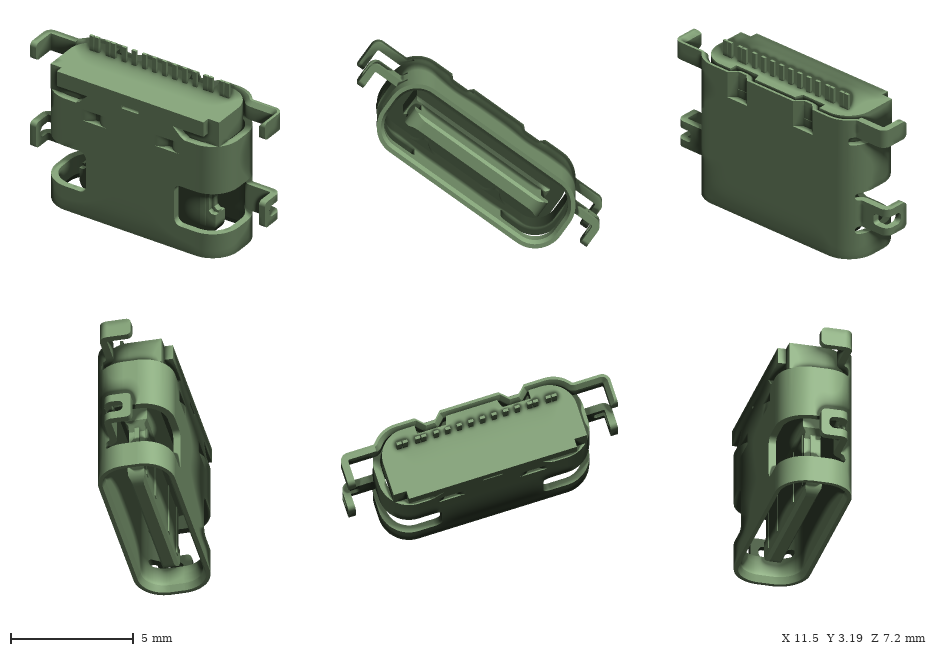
import cadquery as cq
import math

LENGTH = 11.54
DEPTH = 3.19
HEIGHT = 7.2
BACK = DEPTH / 2
FRONT = -BACK

SHEET = 0.3
SHELL_WIDTH = 8.95
CORNER_RADIUS = 1.28
SHELL_HEIGHT = 5.32
INNER_RADIUS = CORNER_RADIUS - SHEET
CORNER_X = SHELL_WIDTH / 2 - CORNER_RADIUS
CORNER_Y = BACK - CORNER_RADIUS

LEAD_IN_DEPTH = 0.13
LEAD_IN_HEIGHT = 0.28

WINDOW_BOTTOM = 1.14
WINDOW_TOP = 3.06
WINDOW_X = 2.17
WINDOW_RADIUS = 0.31
SLOT_RADIUS = 0.16
SLOT_END_Y = BACK - 0.5

BODY_TOP = 6.5
UPPER_WING_BOTTOM = 5.69
UPPER_WING_DROP = 0.55
LOWER_WING_BOTTOM = 1.5
LOWER_WING_TOP = 2.71
LOWER_WING_DROP = 0.74
LEG_TIP_Y = BACK - 1.92
LEG_TIP_RADIUS = 0.21
INNER_BEND_RADIUS = 0.06
LEG_BEND_RADIUS = SHEET + INNER_BEND_RADIUS
ROOT_OUTER_RADIUS = 0.12
ROOT_INNER_RADIUS = 0.46
PLATE_CHAMFER = 0.18
PROBE_OUT = 0.05
PROBE_BACK = 0.12
PROBE_DOWN = 0.01
NOTCH_END_Y = BACK - 0.31
NOTCH_RADIUS = 0.1

LEG_HOLE_BOTTOM = 1.85
LEG_HOLE_TOP = 2.37
LEG_HOLE_X = 5.02
LEG_HOLE_END_Y = BACK - 1.58
LEG_HOLE_RADIUS = 0.14
LEG_HOLE_END_RADIUS = 0.23

DENT_X = 1.8
DENT_DEPTH = 0.32
DENT_HALF_WIDTH = 0.54
DENT_INNER_HALF_WIDTH = 0.89

BRIDGE_X = 1.78
BRIDGE_WIDTH = 1.22
BRIDGE_BOTTOM = 4.58
BRIDGE_TOP = 5.11
BRIDGE_DEPTH = 0.3
BRIDGE_FLAT = 0.18
BRIDGE_SAG = 0.08

TAB_TOP = 5.8
TAB_FOOT_HALF = 2.68
TAB_BASE_HALF = 2.49
TAB_TOP_HALF = 2.1
TAB_FOOT_HEIGHT = 0.09
TAB_CHAMFER = 0.14

BODY_WIDTH = 8.29
BODY_FRONT = FRONT + 0.35
BODY_RADIUS = 1.15
FLANGE_WIDTH = 7.2
FLANGE_NOTCH_WIDTH = 0.82
FLANGE_NOTCH_HEIGHT = 0.14
FLANGE_NOTCH_DEPTH = 0.14
POCKET_OUTER_X = 2.43
POCKET_INNER_X = 1.1
POCKET_SLANT = 0.12
POCKET_DEPTH = 0.36

TONGUE_Y = 0.02
TONGUE_THICKNESS = 0.68
TONGUE_WIDTH = 6.69
TONGUE_BOTTOM = 0.23
TIP_RADIUS = 0.62
TIP_BEVEL_DEPTH = 0.12
TIP_BEVEL_HEIGHT = 0.2
LATCH_BOTTOM = 1.33
LATCH_TOP = 3.12
LATCH_DEPTH = 0.33
LATCH_CHAMFER = 0.12
MIDPLATE_THICKNESS = 0.21
MIDPLATE_EXTRA = 0.12
BASE_BOTTOM = 2.99
BASE_STEP = 0.14
CONTACT_WIDTH = 0.24
CONTACT_HEIGHT = 0.03
CONTACT_BOTTOM = 0.68

PITCH = 0.5
PIN_WIDTH = 0.21
PIN_THICKNESS = 0.12
PIN_Y = BACK - 1.0
PAIR_SPACING = 0.25
SINGLE_PINS = [PITCH * (n + 0.5) for n in range(4)]
PAIRED_PINS = [2.4, 3.2]
CONTACT_XS = [PITCH * 2.5, PITCH * 5.5]


def block(x0, x1, y0, y1, z0, z1):
    """Box between two opposite corners."""
    return cq.Workplane("XY").box(x1 - x0, y1 - y0, z1 - z0, centered=False).translate((x0, y0, z0))


def both_sides(solid):
    """The solid together with its mirror image about the YZ plane."""
    return solid.union(solid.mirror("YZ"))


def prism_along_y(points, y0, y1):
    """Extrude an XZ outline between two Y positions."""
    return cq.Workplane("XZ", origin=(0, y1, 0)).polyline(points).close().extrude(y1 - y0)


def rounded_slab(inset, z0, z1):
    """Shell outline moved inwards by an inset, extruded between two heights."""
    slab = block(
        inset - SHELL_WIDTH / 2, SHELL_WIDTH / 2 - inset, FRONT + inset, BACK - inset, z0, z1
    )
    return slab.edges("|Z").fillet(CORNER_RADIUS - inset)


def tube(z0, z1):
    """Closed ring of shell sheet between two heights."""
    return rounded_slab(0, z0, z1).cut(rounded_slab(SHEET, z0, z1))


def fillet_upright(solid, x, y, radius):
    """Round the vertical edge closest to a plan position."""
    z = solid.val().Center().z
    return solid.edges("|Z").edges(cq.NearestToPointSelector((x, y, z))).fillet(radius)


def arc_x(radius, y):
    """X position at which a rear corner arc reaches the given Y."""
    return CORNER_X + math.sqrt(radius**2 - (y - CORNER_Y) ** 2)


def wing(drop, z0, z1):
    """Right-hand wing: rear shell corner, flat wing and solder leg."""
    outer_y = BACK - drop
    inner_y = outer_y - SHEET
    leg_x = LENGTH / 2 - SHEET
    root_inner_x = arc_x(INNER_RADIUS, inner_y)
    corner = tube(z0, z1).intersect(block(CORNER_X, LENGTH, inner_y, BACK, z0, z1))
    flat = block(CORNER_X, LENGTH / 2, inner_y, outer_y, z0, z1)
    leg = block(leg_x, LENGTH / 2, LEG_TIP_Y, outer_y, z0, z1)
    solid = flat.union(leg).cut(rounded_slab(SHEET, z0, z1)).union(corner).clean()
    solid = fillet_upright(solid, root_inner_x, inner_y, ROOT_INNER_RADIUS)
    solid = fillet_upright(solid, arc_x(CORNER_RADIUS, outer_y), outer_y, ROOT_OUTER_RADIUS)
    solid = fillet_upright(solid, LENGTH / 2, outer_y, LEG_BEND_RADIUS)
    return fillet_upright(solid, leg_x, inner_y, INNER_BEND_RADIUS)


def round_leg_tips(solid, z0, z1):
    """Round the corners at the free ends of the legs."""
    envelope = block(-LENGTH / 2, LENGTH / 2, LEG_TIP_Y, BACK, z0, z1)
    return solid.intersect(envelope.edges("<Y and |X").fillet(LEG_TIP_RADIUS))


def dent_outline(depth, half_width):
    """Trapezoid with 45 degree flanks, reaching inwards from the back face."""
    return [
        (DENT_X - half_width, BACK),
        (DENT_X - half_width + depth, BACK - depth),
        (DENT_X + half_width - depth, BACK - depth),
        (DENT_X + half_width, BACK),
    ]


def dent(depth, half_width, z0, z1):
    outline = cq.Workplane("XY", origin=(0, 0, z0)).polyline(dent_outline(depth, half_width))
    return both_sides(outline.close().extrude(z1 - z0))


def dented(wall, z0, z1):
    """The wall with both dents pressed into it; the sheet bulges on its inner side."""
    wall = wall.union(dent(DENT_DEPTH + SHEET, DENT_INNER_HALF_WIDTH, z0, z1))
    return wall.cut(dent(DENT_DEPTH, DENT_HALF_WIDTH, z0, z1)).clean()


def plate_foot():
    """Rear wall between the shell and the upper wings, with a rounded notch at each side."""
    z0, z1 = SHELL_HEIGHT, UPPER_WING_BOTTOM
    notch = block(-LENGTH, LENGTH, FRONT, NOTCH_END_Y, z0, z1).edges(">Y and |X").fillet(NOTCH_RADIUS)
    rear = tube(z0, z1).intersect(block(-LENGTH, LENGTH, NOTCH_END_Y - NOTCH_RADIUS, BACK, z0, z1))
    return dented(rear.cut(notch), z0, z1)


def back_plate():
    """Rear wall with upper wings; its inner top edge is chamfered except on the left wing."""
    z0, z1 = UPPER_WING_BOTTOM, BODY_TOP
    right_wing = wing(UPPER_WING_DROP, z0, z1)
    root_x = arc_x(CORNER_RADIUS, BACK - UPPER_WING_DROP)
    left_wing = right_wing.mirror("YZ")
    left_corner = left_wing.intersect(block(-root_x, 0, FRONT, BACK, z0, z1))
    left_wing = left_wing.intersect(block(-LENGTH, -root_x, FRONT, BACK, z0, z1))
    middle = block(-CORNER_X, CORNER_X, BACK - SHEET, BACK, z0, z1)
    plate = dented(middle.union(right_wing).union(left_corner), z0, z1)
    body = plate.val()

    def faces_inwards(edge):
        """True for an edge with sheet metal behind it and towards its own end of the part."""
        centre = edge.Center()
        behind = centre + cq.Vector(math.copysign(PROBE_OUT, centre.x), PROBE_BACK, -PROBE_DOWN)
        return centre.y > LEG_TIP_Y and -root_x < centre.x and body.isInside(behind)

    plate = plate.faces(">Z").edges().filter(faces_inwards).chamfer(PLATE_CHAMFER)
    return round_leg_tips(plate.union(left_wing), z0, z1).union(plate_foot())


def side_window():
    """Right-hand opening through the side wall, with a slot above and below the wing."""
    z0, z1 = WINDOW_BOTTOM, WINDOW_TOP
    wing_y = BACK - LOWER_WING_DROP - SHEET
    front = block(WINDOW_X, LENGTH, FRONT, CORNER_Y, z0, z1).edges("<X and |Y").fillet(WINDOW_RADIUS)
    window = front.union(block(CORNER_X, LENGTH, 0, wing_y, z0, z1))
    window = window.union(
        block(CORNER_X, LENGTH, 0, SLOT_END_Y, LOWER_WING_BOTTOM, LOWER_WING_TOP)
    )
    for bottom, top in ((z0, LOWER_WING_BOTTOM), (LOWER_WING_TOP, z1)):
        slot = block(CORNER_X, LENGTH, 0, SLOT_END_Y, bottom, top)
        window = window.union(slot.edges(">Y and |X").fillet(SLOT_RADIUS))
    return window


def lower_wing():
    """Right-hand lower wing, with a hole through its leg bend."""
    solid = wing(LOWER_WING_DROP, LOWER_WING_BOTTOM, LOWER_WING_TOP)
    solid = round_leg_tips(solid, LOWER_WING_BOTTOM, LOWER_WING_TOP)
    z0, z1 = LEG_HOLE_BOTTOM, LEG_HOLE_TOP
    leg_x = LENGTH / 2 - SHEET
    in_wing = block(LEG_HOLE_X, LENGTH / 2, -BACK / 2, BACK, z0, z1)
    in_wing = in_wing.edges("<X and |Y").fillet(LEG_HOLE_RADIUS)
    in_wing = in_wing.intersect(block(0, leg_x, FRONT, BACK, z0, z1))
    in_leg = block(leg_x, LENGTH / 2, LEG_HOLE_END_Y, BACK, z0, z1)
    in_leg = in_leg.edges("<Y and |X").fillet(LEG_HOLE_END_RADIUS)
    return solid.cut(in_wing).cut(in_leg)


def bridge(inset):
    """Right-hand bridge surface, with arched flanks either side of a flat crest."""
    y = FRONT + inset
    crest_y = y + BRIDGE_DEPTH
    half = BRIDGE_WIDTH / 2
    flat = BRIDGE_FLAT / 2
    middle = (half + flat) / 2
    mid_y = (y + crest_y) / 2 - BRIDGE_SAG
    return (
        cq.Workplane("XY", origin=(BRIDGE_X, 0, BRIDGE_BOTTOM))
        .moveTo(-half, FRONT - SHEET)
        .lineTo(-half, y)
        .threePointArc((-middle, mid_y), (-flat, crest_y))
        .lineTo(flat, crest_y)
        .threePointArc((middle, mid_y), (half, y))
        .lineTo(half, FRONT - SHEET)
        .close()
        .extrude(BRIDGE_TOP - BRIDGE_BOTTOM)
    )


def front_tab():
    """Tapered tab on the front wall with splayed feet, backed by the insulator."""
    right_edge = [
        (TAB_FOOT_HALF, SHELL_HEIGHT),
        (TAB_BASE_HALF, SHELL_HEIGHT + TAB_FOOT_HEIGHT),
        (TAB_TOP_HALF, TAB_TOP),
    ]
    left_edge = [(-x, z) for x, z in reversed(right_edge)]
    tab = prism_along_y(right_edge + left_edge, FRONT, BODY_FRONT)
    return tab.edges(">Z and >Y").chamfer(TAB_CHAMFER)


def lead_in():
    """Tapered plug that opens out the shell mouth."""
    inset = SHEET - LEAD_IN_DEPTH
    mouth = cq.Sketch().rect(SHELL_WIDTH - 2 * inset, DEPTH - 2 * inset)
    mouth = mouth.vertices().fillet(CORNER_RADIUS - inset)
    taper = math.degrees(math.atan2(LEAD_IN_DEPTH, LEAD_IN_HEIGHT))
    return cq.Workplane("XY").placeSketch(mouth).extrude(LEAD_IN_HEIGHT, taper=taper)


def shell():
    solid = tube(0, SHELL_HEIGHT).cut(lead_in()).cut(both_sides(side_window()))
    solid = solid.union(both_sides(lower_wing()))
    solid = solid.union(both_sides(bridge(SHEET))).cut(both_sides(bridge(0)))
    return solid.union(front_tab()).union(back_plate())


def dent_pocket():
    """Recesses in the back of the insulator that clear the dents."""
    outline = [
        (POCKET_OUTER_X, BACK - SHEET),
        (POCKET_OUTER_X, BACK - SHEET - POCKET_DEPTH),
        (POCKET_INNER_X + POCKET_SLANT, BACK - SHEET - POCKET_DEPTH),
        (POCKET_INNER_X, BACK - SHEET),
    ]
    pocket = cq.Workplane("XY", origin=(0, 0, UPPER_WING_BOTTOM)).polyline(outline).close()
    return both_sides(pocket.extrude(BODY_TOP - UPPER_WING_BOTTOM))


def insulator():
    """Insulator block with its front flange."""
    half = BODY_WIDTH / 2
    body = block(-half, half, BODY_FRONT, BACK - SHEET, SHELL_HEIGHT, BODY_TOP)
    body = body.edges("|Z and >Y").fillet(BODY_RADIUS)
    flange = block(-FLANGE_WIDTH / 2, FLANGE_WIDTH / 2, FRONT, BODY_FRONT, TAB_TOP, BODY_TOP)
    half_notch = FLANGE_NOTCH_WIDTH / 2
    notch = (
        cq.Workplane("YZ", origin=(-half_notch, 0, 0))
        .moveTo(FRONT, TAB_TOP)
        .lineTo(FRONT + FLANGE_NOTCH_DEPTH, TAB_TOP + FLANGE_NOTCH_HEIGHT / 2)
        .lineTo(FRONT, TAB_TOP + FLANGE_NOTCH_HEIGHT)
        .close()
        .extrude(FLANGE_NOTCH_WIDTH)
    )
    return body.union(flange).cut(notch).cut(dent_pocket())


def latch_notch(depth, thickness, bottom):
    """Right-hand latch notch in the tongue edge, sloping out at 45 degrees to its top."""
    edge_x = TONGUE_WIDTH / 2
    floor_x = edge_x - depth
    outline = [
        (edge_x, LATCH_TOP),
        (edge_x, bottom),
        (floor_x + LATCH_CHAMFER, bottom),
        (floor_x, bottom + LATCH_CHAMFER),
        (floor_x, LATCH_TOP - depth),
    ]
    return prism_along_y(outline, TONGUE_Y - thickness / 2, TONGUE_Y + thickness / 2)


def tongue():
    """Contact tongue with a thicker base, latch notches and raised contacts."""
    half = TONGUE_WIDTH / 2
    front_y = TONGUE_Y - TONGUE_THICKNESS / 2
    back_y = front_y + TONGUE_THICKNESS
    profile = [
        (front_y, SHELL_HEIGHT),
        (front_y, TONGUE_BOTTOM + TIP_BEVEL_HEIGHT),
        (front_y + TIP_BEVEL_DEPTH, TONGUE_BOTTOM),
        (back_y - TIP_BEVEL_DEPTH, TONGUE_BOTTOM),
        (back_y, TONGUE_BOTTOM + TIP_BEVEL_HEIGHT),
        (back_y, SHELL_HEIGHT),
    ]
    blade = cq.Workplane("YZ", origin=(-half, 0, 0)).polyline(profile).close().extrude(TONGUE_WIDTH)
    rounded = block(-half, half, front_y, back_y, TONGUE_BOTTOM, SHELL_HEIGHT)
    solid = blade.intersect(rounded.edges("<Z and |Y").fillet(TIP_RADIUS))
    base = block(
        -half, half, front_y - BASE_STEP, back_y + BASE_STEP, BASE_BOTTOM, SHELL_HEIGHT
    )
    solid = solid.union(base.edges("<Z and |X").chamfer(BASE_STEP))
    core = block(
        0, half, TONGUE_Y - MIDPLATE_THICKNESS / 2, TONGUE_Y + MIDPLATE_THICKNESS / 2, 0, HEIGHT
    )
    face_notch = latch_notch(LATCH_DEPTH, TONGUE_THICKNESS + 2 * BASE_STEP, LATCH_BOTTOM).cut(core)
    midplate_notch = latch_notch(
        LATCH_DEPTH - MIDPLATE_EXTRA, MIDPLATE_THICKNESS, LATCH_BOTTOM + MIDPLATE_EXTRA
    )
    solid = solid.cut(both_sides(face_notch)).cut(both_sides(midplate_notch))
    for x in CONTACT_XS:
        contact = block(
            x - CONTACT_WIDTH / 2, x + CONTACT_WIDTH / 2,
            front_y - CONTACT_HEIGHT, front_y, CONTACT_BOTTOM, SHELL_HEIGHT,
        )
        solid = solid.union(both_sides(contact))
    return solid


def pins():
    positions = list(SINGLE_PINS)
    for x in PAIRED_PINS:
        positions += [x - PAIR_SPACING / 2, x + PAIR_SPACING / 2]
    points = [(side * x, PIN_Y) for x in positions for side in (-1, 1)]
    base = cq.Workplane("XY", origin=(0, 0, BODY_TOP)).pushPoints(points)
    return base.rect(PIN_WIDTH, PIN_THICKNESS).extrude(HEIGHT - BODY_TOP)


result = shell().union(insulator()).union(tongue()).union(pins())